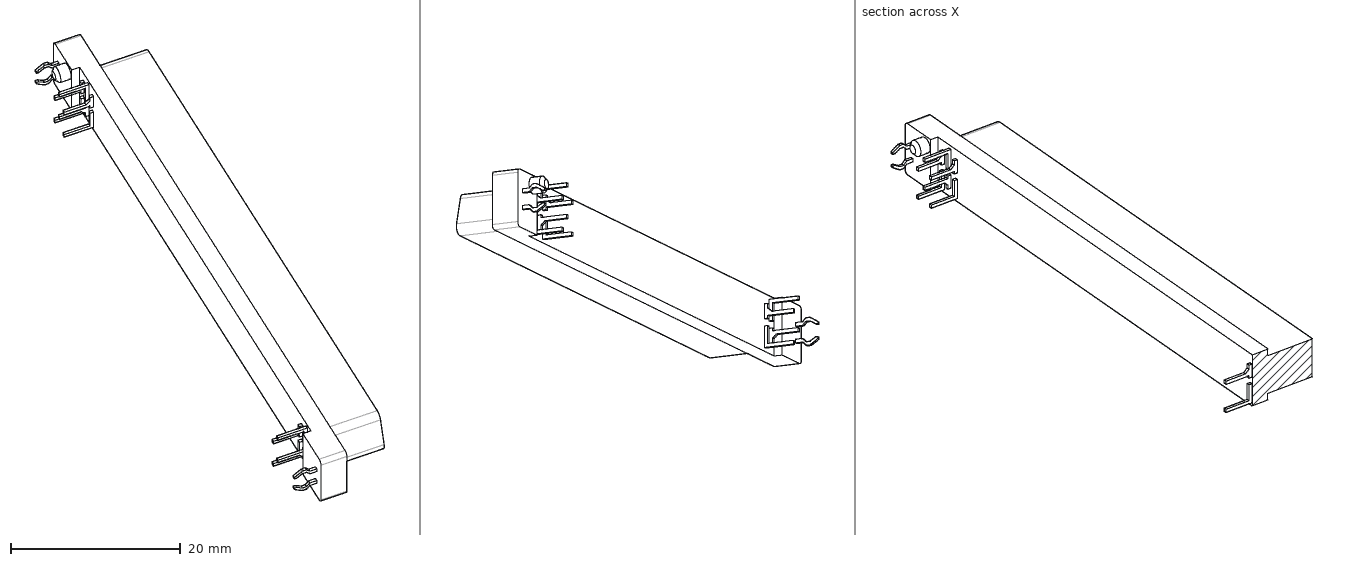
import cadquery as cq
import math


flange_length = 74.9
flange_height = 7.05
flange_depth = 3.4
flange_corner_radius = 0.5
recess_length = 64.7
recess_depth = 1.05

shroud_top_length = 65.3
shroud_height = 5.25
shroud_depth = 6.5
shroud_end_angle = 17.0
shroud_corner_radius = 1.0

post_x = -33.5
post_z = 2.25
post_diameter = 2.0
post_length = 1.8
post_tip_chamfer = 0.45

pin_width = 0.4
pin_thickness = 0.45
row_spacing = 2.0
row_inner_z = (row_spacing - pin_thickness) / 2
row_outer_z = (row_spacing + pin_thickness) / 2

mount_pin_x = 36.1
mount_pin_length = 2.9
bow_offset = 0.45
bow_start = 0.9
bow_top_start = 1.35
bow_top_end = 1.9
bow_end = 2.6
tip_bevel = 0.2

tail_pitch = 1.3
tail_positions = 50
first_tail_x = (tail_positions - 1) * tail_pitch / 2
tail_reach = 2.8
bar_start_z = 0.45
long_bar_z = 3.1
short_bar_z = 2.25
slope_rise = 0.45
slope_run = 0.5

root_depth = 0.4

bar_back = recess_depth + root_depth
bar_front = recess_depth - pin_thickness


def make_flange():
    """Rounded block with a wide recess across the middle of its front."""
    block = cq.Workplane("XY").box(flange_length, flange_depth, flange_height, centered=(True, False, True))
    block = block.edges("|Y").fillet(flange_corner_radius)
    recess = cq.Workplane("XY").box(recess_length, 2 * recess_depth, 2 * flange_height)
    return block.cut(recess)


def make_shroud():
    """Tapered block standing on the back of the flange."""
    top_half = shroud_top_length / 2
    bottom_half = top_half + shroud_height * math.tan(math.radians(shroud_end_angle))
    half_height = shroud_height / 2
    outline = [
        (-bottom_half, -half_height),
        (bottom_half, -half_height),
        (top_half, half_height),
        (-top_half, half_height),
    ]
    shroud = cq.Workplane("XZ", origin=(0, flange_depth, 0)).polyline(outline).close().extrude(-shroud_depth)
    return shroud.edges("|Y").fillet(shroud_corner_radius)


def make_post():
    """Round post with a chamfered tip, beside the left end of the recess."""
    post = cq.Workplane("XZ", origin=(post_x, root_depth, post_z)).circle(post_diameter / 2)
    return post.extrude(post_length + root_depth).faces("<Y").chamfer(post_tip_chamfer)


def make_strip(x, side, outline):
    """Flat strip centred on x from a (y, z) outline, mirrored below when side is -1."""
    points = [(y, side * z) for y, z in outline]
    return cq.Workplane("YZ", origin=(x, 0, 0)).polyline(points).close().extrude(pin_width / 2, both=True)


def mount_pin(x, side):
    """Pin that bows away from the middle and comes back in to its tip."""
    outline = [
        (root_depth, row_inner_z),
        (-bow_start, row_inner_z),
        (-bow_top_start, row_inner_z + bow_offset),
        (-bow_top_end, row_inner_z + bow_offset),
        (-bow_end, row_inner_z),
        (-mount_pin_length, row_inner_z),
        (-mount_pin_length, row_outer_z - tip_bevel),
        (-bow_end, row_outer_z),
        (-bow_top_end, row_outer_z + bow_offset),
        (-bow_top_start, row_outer_z + bow_offset),
        (-bow_start, row_outer_z),
        (root_depth, row_outer_z),
    ]
    return make_strip(x, side, outline)


def long_tail(x, side):
    """Bar along the recess face with a straight tail at its far end."""
    outline = [
        (bar_back, bar_start_z),
        (bar_front, bar_start_z),
        (bar_front, long_bar_z - pin_thickness),
        (-tail_reach, long_bar_z - pin_thickness),
        (-tail_reach, long_bar_z),
        (bar_back, long_bar_z),
    ]
    return make_strip(x, side, outline)


def short_tail(x, side):
    """Bar along the recess face with a tail near its middle, sloped at the root."""
    outline = [
        (bar_back, bar_start_z),
        (bar_front, bar_start_z),
        (bar_front, row_inner_z),
        (-tail_reach, row_inner_z),
        (-tail_reach, row_outer_z),
        (bar_front - slope_run, row_outer_z),
        (bar_front, row_outer_z + slope_rise),
        (bar_front, short_bar_z),
        (bar_back, short_bar_z),
    ]
    return make_strip(x, side, outline)


result = make_flange().union(make_shroud()).union(make_post())

for x in (-mount_pin_x, mount_pin_x):
    for side in (-1, 1):
        result = result.union(mount_pin(x, side))

tail_columns = [
    (-first_tail_x, -1),
    (-first_tail_x + tail_pitch, 1),
    (-first_tail_x + 2 * tail_pitch, -1),
    (first_tail_x - tail_pitch, -1),
    (first_tail_x, 1),
]
for x, long_side in tail_columns:
    result = result.union(long_tail(x, long_side)).union(short_tail(x, -long_side))